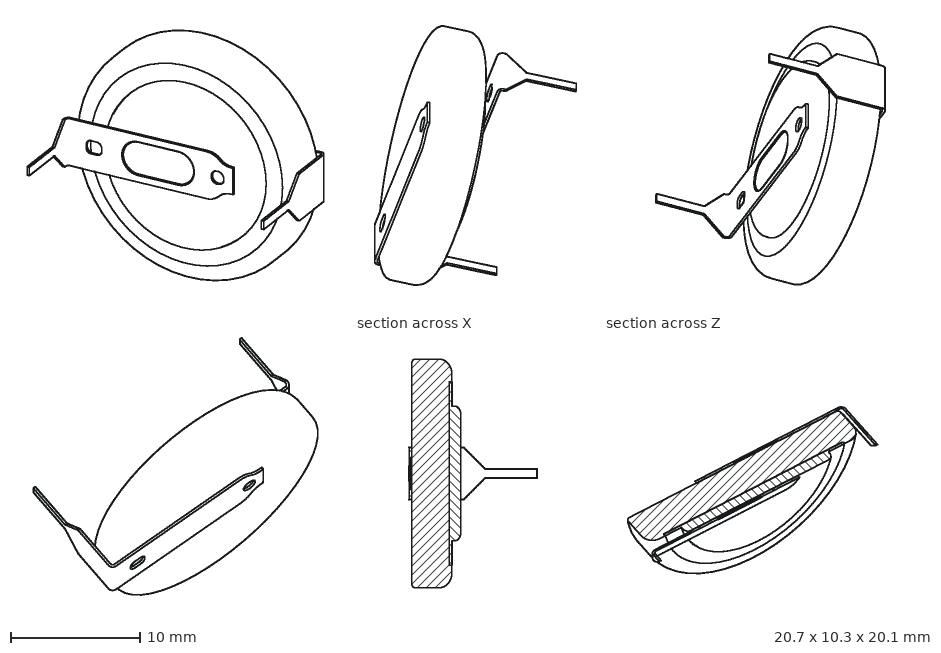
import cadquery as cq
import math


CAN_RADIUS = 10.05
CAN_DEPTH = 3.15
CAN_FRONT_FILLET = 1.04
CAN_BACK_FILLET = 0.31

CAP_DISC_RADIUS = 8.49
CAP_DISC_DEPTH = 0.2
CAP_STEP_RADIUS = 7.04
CAP_STEP_HEIGHT = 0.68
CAP_FILLET = 0.5

STRIP_THICKNESS = 0.2
STRIP_LENGTH = 14.85
STRIP_WIDTH = 4.04
BEND_RADIUS = 0.41
TIP_WIDTH = 2.25
SHOULDER_START = 12.52
SHOULDER_LENGTH = 2.17

WINDOW_POSITION = 2.55
WINDOW_LENGTH = 1.39
HOLE_DIAMETER = 1.12
WINDOW_CORNER_RADIUS = 0.45
RECESS_POSITION = 8.22
RECESS_LENGTH = 6.4
RECESS_WIDTH = 2.9
RECESS_FLARE = 0.08
RECESS_DEPTH = 0.08
RECESS_FLARE_ANGLE = math.degrees(math.atan2(RECESS_FLARE, RECESS_DEPTH))
HOLE_POSITION = 13.48

PIN_WIDTH = 0.72
PIN_LENGTH = 4.02
TAPER_LENGTH = (STRIP_WIDTH - PIN_WIDTH) / 2
CAP_FRONT = -(CAN_DEPTH + CAP_STEP_HEIGHT)
FRONT_LEG_END = -10.1
BACK_LEG_END = -9.7

LEFT_FACE = -10.25
RIGHT_FACE = 10.45


def disc(radius, back, depth):
    """Cylinder along the cell axis, reaching forward from Y = back."""
    return cq.Workplane("XZ", origin=(0, back, 0)).circle(radius).extrude(depth)


def make_can():
    can = disc(CAN_RADIUS, 0, CAN_DEPTH)
    can = can.faces("<Y").edges().fillet(CAN_FRONT_FILLET)
    can = can.faces(">Y").edges().fillet(CAN_BACK_FILLET)
    return can.cut(disc(CAP_DISC_RADIUS, CAP_DISC_DEPTH - CAN_DEPTH, CAP_DISC_DEPTH))


def make_cap():
    base = disc(CAP_DISC_RADIUS, CAP_DISC_DEPTH - CAN_DEPTH, CAP_DISC_DEPTH)
    step = disc(CAP_STEP_RADIUS, -CAN_DEPTH, CAP_STEP_HEIGHT)
    step = step.faces("<Y").edges().fillet(CAP_FILLET)
    return base.union(step)


def strip_outline():
    """Flat strip from X = 0, narrowed to its tip by S-shaped shoulders."""
    half_width = STRIP_WIDTH / 2
    half_tip = TIP_WIDTH / 2
    mid_x = SHOULDER_START + SHOULDER_LENGTH / 2
    mid_z = (half_width + half_tip) / 2
    end_x = SHOULDER_START + SHOULDER_LENGTH
    return (
        cq.Workplane("XZ")
        .moveTo(0, -half_width)
        .lineTo(SHOULDER_START, -half_width)
        .tangentArcPoint((mid_x, -mid_z), relative=False)
        .tangentArcPoint((end_x, -half_tip), relative=False)
        .lineTo(STRIP_LENGTH, -half_tip)
        .lineTo(STRIP_LENGTH, half_tip)
        .lineTo(end_x, half_tip)
        .tangentArcPoint((mid_x, mid_z), relative=False)
        .tangentArcPoint((SHOULDER_START, half_width), relative=False)
        .lineTo(0, half_width)
        .close()
    )


def strip_cutouts():
    """Rounded window and round hole through the flat strip, and a shallow tapered recess."""
    window = (
        cq.Workplane("XZ")
        .center(WINDOW_POSITION, 0)
        .rect(WINDOW_LENGTH, HOLE_DIAMETER)
        .extrude(STRIP_THICKNESS)
        .edges("|Y")
        .fillet(WINDOW_CORNER_RADIUS)
    )
    recess = (
        cq.Workplane("XZ", origin=(RECESS_POSITION, RECESS_DEPTH - STRIP_THICKNESS, 0))
        .slot2D(RECESS_LENGTH - 2 * RECESS_FLARE, RECESS_WIDTH - 2 * RECESS_FLARE)
        .extrude(RECESS_DEPTH, taper=-RECESS_FLARE_ANGLE)
    )
    hole = cq.Workplane("XZ").center(HOLE_POSITION, 0).circle(HOLE_DIAMETER / 2).extrude(STRIP_THICKNESS)
    return window.union(recess).union(hole)


def leg_outline(length):
    """Leg in the YZ plane: full width at the strip, then a 45 degree taper to a narrow pin."""
    pin_start = PIN_LENGTH - length
    taper_start = pin_start + TAPER_LENGTH
    half_width = STRIP_WIDTH / 2
    half_pin = PIN_WIDTH / 2
    return cq.Workplane("YZ").polyline([
        (0, -half_width),
        (taper_start, -half_width),
        (pin_start, -half_pin),
        (-length, -half_pin),
        (-length, half_pin),
        (pin_start, half_pin),
        (taper_start, half_width),
        (0, half_width),
    ]).close()


def make_terminal(leg_length):
    """Terminal with its bend corner at the origin, its strip along +X and its leg along -Y."""
    strip = strip_outline().extrude(STRIP_THICKNESS).cut(strip_cutouts())
    leg = leg_outline(leg_length).extrude(STRIP_THICKNESS)
    inner_radius = BEND_RADIUS - STRIP_THICKNESS
    inner_corner = (STRIP_THICKNESS, -STRIP_THICKNESS, 0)
    return (
        strip.union(leg)
        .edges(cq.selectors.NearestToPointSelector((0, 0, 0)))
        .fillet(BEND_RADIUS)
        .edges(cq.selectors.NearestToPointSelector(inner_corner))
        .fillet(inner_radius)
    )


can = make_can()
cap = make_cap()

front_terminal = make_terminal(CAP_FRONT - FRONT_LEG_END).translate((LEFT_FACE, CAP_FRONT, 0))

back_terminal = (
    make_terminal(STRIP_THICKNESS - BACK_LEG_END)
    .mirror("YZ")
    .translate((RIGHT_FACE, STRIP_THICKNESS, 0))
)

result = cq.Compound.makeCompound([
    can.solids().val(),
    cap.solids().val(),
    front_terminal.solids().val(),
    back_terminal.solids().val(),
])